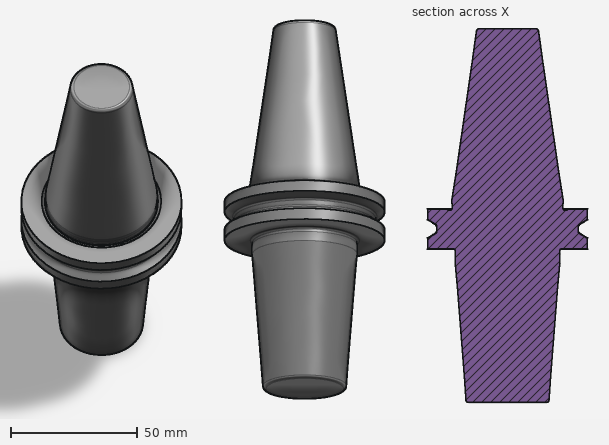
import cadquery as cq
import math

gauge_radius = 44.45 / 2
shank_length = 68.4
shank_taper_ratio = 7 / 24 / 2
shank_tip_fillet = 1.4

collar_radius = 22.05
gauge_band_bottom = -0.6
collar_cone_bottom = -1.5
collar_root_fillet = 0.4

flange_radius = 63.55 / 2
flange_top = -3.2
flange_thickness = 15.9
groove_center = -11.1
groove_mouth_width = 7.2
groove_floor_radius = 56.25 / 2
groove_flank_angle = 30
groove_floor_fillet = 1.0

recess_outer_radius = 23.7
recess_depth = 0.4
recess_floor_fillet = 0.36

nose_bottom = -80.0
nose_tip_radius = 16.5
nose_taper_top = -24.8
nose_taper_angle = 4.5
nose_tip_fillet = 1.2
undercut_depth = 0.1
undercut_length = 1.95
undercut_root_fillet = 0.9

flange_bottom = flange_top - flange_thickness
recess_floor = flange_top - recess_depth
shank_tip_radius = gauge_radius - shank_length * shank_taper_ratio
nose_radius = nose_tip_radius + (nose_taper_top - nose_bottom) * math.tan(math.radians(nose_taper_angle))


def revolve_outline(outline):
    """Solid of revolution about Z from an open (radius, height) outline on the XZ plane."""
    return outline.close().revolve(360, (0, 0, 0), (0, 1, 0))


def concave_arc(outline, corner_radius, corner_height, size, rises):
    """Add a quarter-round from a vertical wall out to a flat face, around an inside corner.

    The wall ends at the start of the arc and the face starts at its end; rises is +1 when
    the face is above the wall and -1 when it is below.
    """
    center_radius = corner_radius + size
    center_height = corner_height - rises * size
    offset = size * math.sqrt(0.5)
    return outline.threePointArc(
        (center_radius - offset, center_height + rises * offset),
        (center_radius, corner_height),
    )


def make_shank():
    outline = (
        cq.Workplane("XZ")
        .moveTo(0, recess_floor)
        .lineTo(0, shank_length)
        .lineTo(shank_tip_radius, shank_length)
        .lineTo(gauge_radius, 0)
        .lineTo(gauge_radius, gauge_band_bottom)
        .lineTo(collar_radius, collar_cone_bottom)
        .lineTo(collar_radius, flange_top + collar_root_fillet)
    )
    outline = concave_arc(outline, collar_radius, flange_top, collar_root_fillet, -1)
    outline = outline.lineTo(collar_radius + collar_root_fillet, recess_floor)
    shank = revolve_outline(outline)
    return shank.faces(">Z").edges().fillet(shank_tip_fillet)


def make_groove_cutter():
    """Ring that fills the V-groove, with its two floor corners rounded."""
    flank_height = (flange_radius - groove_floor_radius) * math.tan(math.radians(groove_flank_angle))
    mouth_half = groove_mouth_width / 2
    floor_half = mouth_half - flank_height
    outline = (
        cq.Workplane("XZ")
        .moveTo(flange_radius, groove_center + mouth_half)
        .lineTo(groove_floor_radius, groove_center + floor_half)
        .lineTo(groove_floor_radius, groove_center - floor_half)
        .lineTo(flange_radius, groove_center - mouth_half)
    )
    ring = revolve_outline(outline)
    floor_edges = cq.selectors.RadiusNthSelector(0)
    return ring.edges("%CIRCLE").edges(floor_edges).fillet(groove_floor_fillet)


def make_flange():
    blank = cq.Workplane("XY").workplane(offset=flange_bottom).circle(flange_radius).extrude(flange_thickness)
    recess = cq.Workplane("XY").workplane(offset=recess_floor).circle(recess_outer_radius).extrude(recess_depth)
    recess = recess.faces("<Z").edges().fillet(recess_floor_fillet)
    return blank.cut(make_groove_cutter()).cut(recess)


def make_nose():
    root_radius = nose_radius - undercut_depth
    outline = (
        cq.Workplane("XZ")
        .moveTo(0, nose_bottom)
        .lineTo(nose_tip_radius, nose_bottom)
        .lineTo(nose_radius, nose_taper_top)
        .lineTo(nose_radius, flange_bottom - undercut_length)
        .lineTo(root_radius, flange_bottom - undercut_root_fillet)
    )
    outline = concave_arc(outline, root_radius, flange_bottom, undercut_root_fillet, 1)
    nose = revolve_outline(outline.lineTo(0, flange_bottom))
    return nose.faces("<Z").edges().fillet(nose_tip_fillet)


result = make_flange().union(make_shank()).union(make_nose())